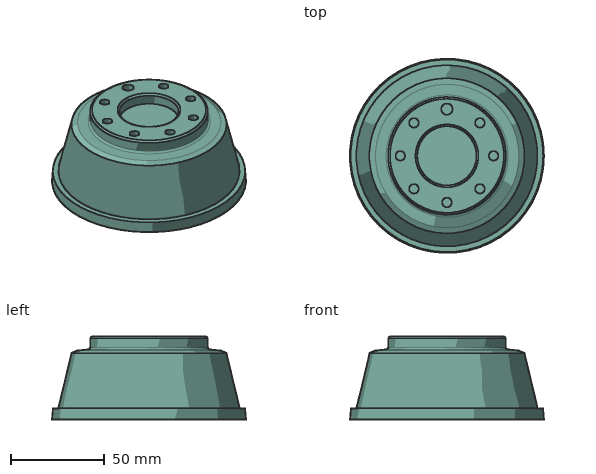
import cadquery as cq
import math

band_outer_radius = 51.9
band_top_radius = 51.4
band_height = 5.9

seat_radius = 48.4
seat_height = 6.5
wall_top_radius = 41.5
wall_top_height = 35.5
shoulder_radius = 38.3
shoulder_height = 36.9
hub_base_height = 37.5

hub_radius = 31.5
hub_fillet = 1.1
hub_chamfer = 1.0
total_height = 44.6

bore_radius = 15.8
bore_chamfer = 1.0
recess_depth = 6.1
plug_height = total_height - recess_depth

bolt_circle_radius = 24.9
hole_count = 8
hole_radius = 2.55
large_hole_radius = 3.0
large_hole_index = 2


def cylinder(radius, height, base=0.0):
    return cq.Workplane("XY").workplane(offset=base).circle(radius).extrude(height)


def make_rim_band():
    profile = [
        (seat_radius, 0),
        (band_outer_radius, 0),
        (band_top_radius, band_height),
        (seat_radius, band_height),
    ]
    return cq.Workplane("XZ").polyline(profile).close().revolve(360, (0, 0), (0, 1))


def revolve_drum():
    fillet_start = hub_radius + hub_fillet
    fillet_end = hub_base_height + hub_fillet
    fillet_bulge = hub_fillet * math.sqrt(0.5)
    fillet_middle = (fillet_start - fillet_bulge, fillet_end - fillet_bulge)
    return (
        cq.Workplane("XZ")
        .moveTo(bore_radius, 0)
        .lineTo(seat_radius, 0)
        .lineTo(seat_radius, seat_height)
        .lineTo(wall_top_radius, wall_top_height)
        .lineTo(shoulder_radius, shoulder_height)
        .lineTo(fillet_start, hub_base_height)
        .threePointArc(fillet_middle, (hub_radius, fillet_end))
        .lineTo(hub_radius, total_height - hub_chamfer)
        .lineTo(hub_radius - hub_chamfer, total_height)
        .lineTo(bore_radius + bore_chamfer, total_height)
        .lineTo(bore_radius, total_height - bore_chamfer)
        .close()
        .revolve(360, (0, 0), (0, 1))
    )


def make_drum():
    drum = revolve_drum()
    for index in range(hole_count):
        angle = 2 * math.pi * index / hole_count
        radius = large_hole_radius if index == large_hole_index else hole_radius
        x = bolt_circle_radius * math.cos(angle)
        y = bolt_circle_radius * math.sin(angle)
        hole = cylinder(radius, recess_depth, plug_height).translate((x, y, 0))
        drum = drum.cut(hole)
    return drum


def make_bore_plug():
    return cylinder(bore_radius, plug_height)


rim_band = make_rim_band()
drum = make_drum()
bore_plug = make_bore_plug()

result = cq.Compound.makeCompound([rim_band.val(), drum.val(), bore_plug.val()])